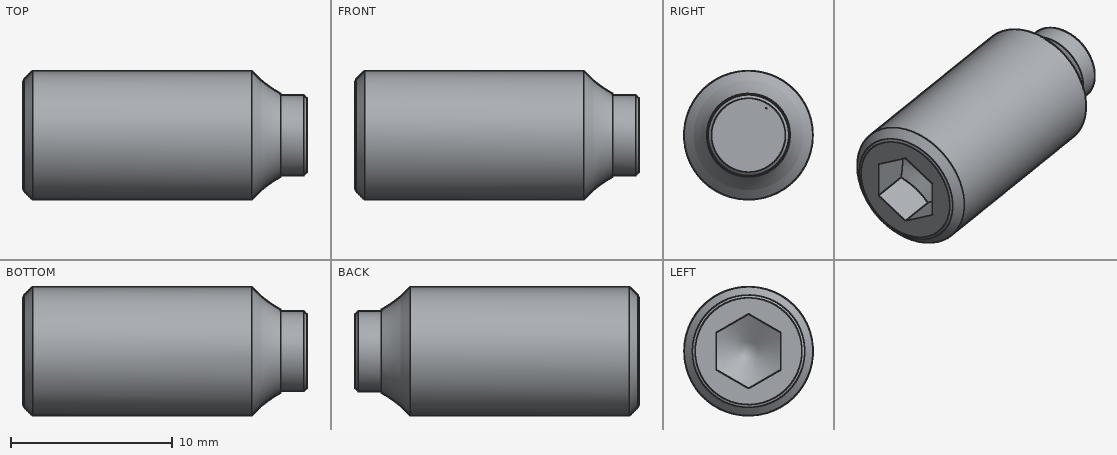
import cadquery as cq
import math

length = 17.6
body_radius = 8.0 / 2

face_radius = 3.3
crown_height = 0.07
crown_radius = 3.48
chamfer_end = crown_height + body_radius - crown_radius

shoulder_start = 14.17
shoulder_drop = 0.6
flare_end = 15.96
flare_end_radius = 2.59
flare_sag = 0.04
dog_radius = 2.5
dog_chamfer = 0.21

hex_across_flats = 4.0
hex_depth = 2.5
cone_angle = 120.0


def make_body():
    """Revolve the half profile, with x along the axis and y as the radius."""
    flare_start = shoulder_start + shoulder_drop
    flare_start_radius = body_radius - shoulder_drop
    run = flare_end - flare_start
    fall = flare_start_radius - flare_end_radius
    chord = math.hypot(run, fall)
    flare_middle = (
        (flare_start + flare_end) / 2 - flare_sag * fall / chord,
        (flare_start_radius + flare_end_radius) / 2 - flare_sag * run / chord,
    )
    profile = (
        cq.Workplane("XY")
        .lineTo(0, face_radius)
        .lineTo(crown_height, crown_radius)
        .lineTo(chamfer_end, body_radius)
        .lineTo(shoulder_start, body_radius)
        .lineTo(flare_start, flare_start_radius)
        .threePointArc(flare_middle, (flare_end, flare_end_radius))
        .lineTo(flare_end, dog_radius)
        .lineTo(length - dog_chamfer, dog_radius)
        .lineTo(length, dog_radius - dog_chamfer)
        .lineTo(length, 0)
        .close()
    )
    return profile.revolve(360, (0, 0, 0), (1, 0, 0))


def make_socket():
    """Hexagonal prism with corners at +Z and -Z, ending in a drill cone."""
    corner_radius = hex_across_flats / math.sqrt(3)
    cone_height = corner_radius / math.tan(math.radians(cone_angle / 2))
    prism = (
        cq.Workplane("YZ")
        .transformed(rotate=(0, 0, 90))
        .polygon(6, 2 * corner_radius)
        .extrude(hex_depth + cone_height)
    )
    envelope = (
        cq.Workplane("XY")
        .lineTo(0, body_radius)
        .lineTo(hex_depth, body_radius)
        .lineTo(hex_depth, corner_radius)
        .lineTo(hex_depth + cone_height, 0)
        .close()
        .revolve(360, (0, 0, 0), (1, 0, 0))
    )
    return prism.intersect(envelope)


result = make_body().cut(make_socket())